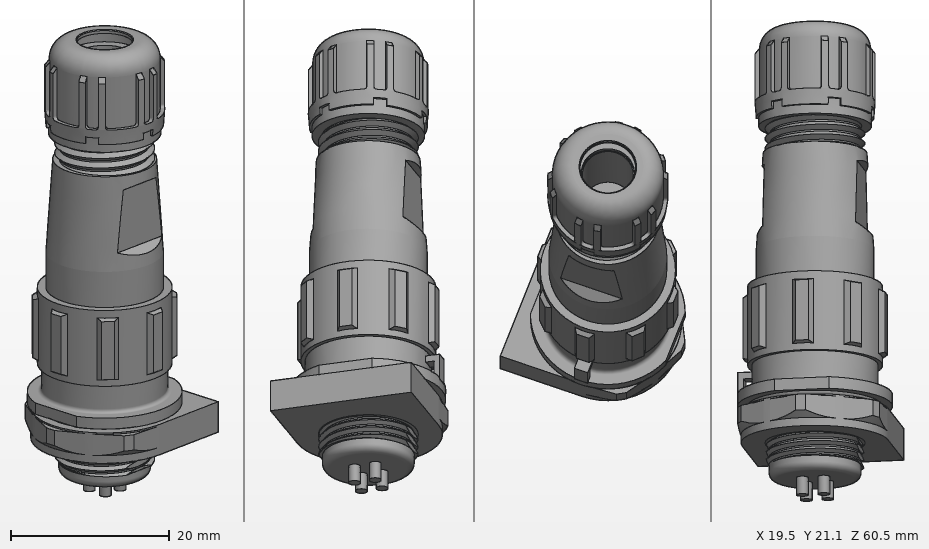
import cadquery as cq
import math


pin_bottom = 0.0
socket_bottom = 2.25
socket_thread_bottom = 4.0
nut_bottom = 7.0
nut_top = 11.1
flange_bottom = 11.75
flange_top = 13.25
coupling_bottom = 17.05
coupling_top = 27.25
taper_bottom = 32.0
taper_top = 44.5
cap_bottom = 48.0
collar_bottom = 49.15
collar_top = 51.15
connector_top = 60.5

plug_radius = 7.42
taper_top_radius = 6.55
grip_flat_offset = 5.95
grip_flat_bottom = 34.45
grip_flat_top = 42.6
grip_flat_slope = math.tan(math.radians(30))

plug_thread_root = 5.65
plug_thread_crest = 6.3
plug_thread_pitch = 1.27

cap_radius = 7.0
cap_dome_radius = 2.5
collar_top_radius = 7.57
collar_bottom_radius = 7.42
cap_skirt_radius = 7.1
collar_notch_top = 50.05
collar_notch_width = 1.7

cap_rib_count = 6
cap_rib_width = 0.9
cap_rib_offset_angle = 9.75
cap_rib_slope_start = 57.35
cap_rib_slope = 1.2
cap_rib_root_fillet = 0.4

entry_radius = 3.5
entry_chamfer = 0.12
entry_lip_height = 0.5
seal_space_radius = 4.65
seal_space_depth = 2.05
seal_bore_radius = 3.35
seal_bore_depth = 2.6
cable_bore_radius = 6.41 / 2

coupling_radius = 8.5
coupling_rib_count = 8
coupling_rib_bottom = 18.0
coupling_rib_top = 26.15
coupling_rib_inner_radius = 8.2
coupling_rib_outer_radius = 9.1
coupling_rib_base_width = 2.95
coupling_rib_tip_width = 1.65
coupling_rib_end_taper = 0.35

barrel_radius = 7.95
barrel_fillet = 0.5
flange_radius = 9.75
flange_flat_offset = 9.1
gasket_radius = 8.5

socket_root_radius = 5.8
socket_thread_crest = 6.3
socket_thread_pitch = 1.0
socket_fillet = 0.9

pin_radius = 0.75
pin_spacing = 2.75

loop_width = 1.8
loop_post_thickness = 0.75
loop_top = 16.35
loop_arm_height = 0.85

nut_radius = 9.33
plate_reach = 11.0
lobe_reach = 10.11
lobe_tip_half_width = 0.65
lobe_top = nut_top - 0.2
lobe_bottom = 8.05
lobe_spacing = 60

overlap = 0.3


def cylinder(radius, bottom, top):
    return cq.Workplane("XY").workplane(offset=bottom).circle(radius).extrude(top - bottom)


def block(x_range, y_range, z_range):
    sizes = [high - low for low, high in (x_range, y_range, z_range)]
    corner = (x_range[0], y_range[0], z_range[0])
    return cq.Workplane("XY").box(*sizes, centered=False).translate(corner)


def turned(body, angle):
    return body.rotate((0, 0, 0), (0, 0, 1), angle)


def thread(root, crest, pitch, bottom, top):
    """Right-handed V thread between two levels, sunk slightly into its core."""
    start = bottom - pitch
    helix = cq.Wire.makeHelix(pitch, top - bottom + 2 * pitch, root).translate(cq.Vector(0, 0, start))
    sink = 0.1
    half_base = 0.48 * pitch
    ridge = (
        cq.Workplane("XZ")
        .polyline([(root - sink, start - half_base), (crest, start), (root - sink, start + half_base)])
        .close()
        .sweep(cq.Workplane(obj=helix), isFrenet=True)
    )
    return ridge.intersect(cylinder(crest + overlap, bottom, top))


def shell():
    """Turned coupling ring and shell, tapered toward the threaded neck."""
    return (
        cq.Workplane("XZ")
        .moveTo(0, coupling_bottom)
        .lineTo(coupling_radius, coupling_bottom)
        .lineTo(coupling_radius, coupling_top)
        .lineTo(plug_radius, coupling_top)
        .lineTo(plug_radius, taper_bottom)
        .lineTo(taper_top_radius, taper_top)
        .lineTo(0, taper_top)
        .close()
        .revolve(360, (0, 0), (0, 1))
    )


def cap():
    """Round cap with a domed top, a slightly conical collar and a skirt under the collar."""
    wall = cylinder(cap_radius, collar_bottom, connector_top).edges(">Z").fillet(cap_dome_radius)
    collar = (
        cq.Workplane("XY", origin=(0, 0, collar_bottom))
        .circle(collar_bottom_radius)
        .workplane(offset=collar_top - collar_bottom)
        .circle(collar_top_radius)
        .loft()
    )
    skirt = cylinder(cap_skirt_radius, cap_bottom, collar_bottom)
    return wall.union(collar).union(skirt)


def neck():
    """Threaded neck between shell and cap, reaching a little into both."""
    core = cylinder(plug_thread_root, taper_top - overlap, cap_bottom + overlap)
    return core.union(thread(plug_thread_root, plug_thread_crest, plug_thread_pitch, taper_top, cap_bottom))


def cable_entry():
    """Cable bore with a lip over the wider seal space, ending at the cap's lower edge."""
    lip_edge = entry_radius + entry_chamfer
    lip_bottom = connector_top - entry_lip_height
    seal_floor = connector_top - seal_space_depth
    seal_bore_floor = connector_top - seal_bore_depth
    return (
        cq.Workplane("XZ")
        .moveTo(0, connector_top)
        .lineTo(lip_edge, connector_top)
        .lineTo(entry_radius, connector_top - entry_chamfer)
        .lineTo(entry_radius, lip_bottom)
        .lineTo(seal_space_radius, lip_bottom)
        .lineTo(seal_space_radius, seal_floor)
        .lineTo(seal_bore_radius, seal_floor)
        .lineTo(seal_bore_radius, seal_bore_floor)
        .lineTo(cable_bore_radius, seal_bore_floor)
        .lineTo(cable_bore_radius, cap_bottom)
        .lineTo(0, cap_bottom)
        .close()
        .revolve(360, (0, 0), (0, 1))
    )


def cap_rib():
    """Upright rib on the +X side of the cap: flared foot, outer face flush with the
    collar's top edge, and a top sloped back to the cap wall."""
    half = cap_rib_width / 2
    foot = half + cap_rib_root_fillet
    fillet_top = collar_top + cap_rib_root_fillet
    inner = cap_radius - overlap
    slope_run = collar_top_radius - inner
    slope_rise = cap_rib_slope * slope_run
    rib_top = cap_rib_slope_start + slope_rise
    upright = (
        cq.Workplane("YZ", origin=(inner, 0, 0))
        .moveTo(-foot, collar_top)
        .radiusArc((-half, fillet_top), -cap_rib_root_fillet)
        .lineTo(-half, rib_top)
        .lineTo(half, rib_top)
        .lineTo(half, fillet_top)
        .radiusArc((foot, collar_top), -cap_rib_root_fillet)
        .close()
        .extrude(collar_top_radius - inner)
    )
    envelope = cylinder(collar_top_radius, collar_top, rib_top).edges(">Z").chamfer(slope_rise, slope_run)
    return upright.intersect(envelope)


def collar_notch():
    """Notch in the collar's lower edge on the +X side, as deep as the cap skirt."""
    half = collar_notch_width / 2
    notch = block((0, collar_top_radius), (-half, half), (collar_bottom, collar_notch_top))
    return notch.cut(cylinder(cap_skirt_radius, collar_bottom, collar_notch_top))


def grip_flat():
    """Material above the wrench flat on the +X side, with sloped ends."""
    outer = plug_radius + 1
    rise = (outer - grip_flat_offset) * grip_flat_slope
    return (
        cq.Workplane("XZ")
        .moveTo(grip_flat_offset, grip_flat_bottom)
        .lineTo(outer, grip_flat_bottom - rise)
        .lineTo(outer, grip_flat_top + rise)
        .lineTo(grip_flat_offset, grip_flat_top)
        .close()
        .extrude(plug_radius, both=True)
    )


def coupling_rib():
    """Rib on the +X side of the coupling ring, tapering outward on all four sides."""
    length = coupling_rib_top - coupling_rib_bottom
    middle = (coupling_rib_top + coupling_rib_bottom) / 2
    return (
        cq.Workplane("YZ", origin=(coupling_rib_inner_radius, 0, middle))
        .rect(coupling_rib_base_width, length + coupling_rib_end_taper)
        .workplane(offset=coupling_rib_outer_radius - coupling_rib_inner_radius)
        .rect(coupling_rib_tip_width, length - coupling_rib_end_taper)
        .loft()
    )


def make_cap():
    body = cap()
    for i in range(cap_rib_count):
        angle = i * 360 / cap_rib_count
        for side in (-cap_rib_offset_angle, cap_rib_offset_angle):
            body = body.union(turned(cap_rib(), angle + side))
        body = body.cut(turned(collar_notch(), angle))
    return body


def make_shell():
    body = shell()
    for i in range(coupling_rib_count):
        body = body.union(turned(coupling_rib(), i * 360 / coupling_rib_count))
    for angle in (0, 180):
        body = body.cut(turned(grip_flat(), angle))
    return body


def make_plug():
    return make_shell().union(neck()).union(make_cap()).cut(cable_entry())


def socket_profile():
    """Turned shape of the threaded tail, gasket and barrel; the flange is added apart."""
    gasket_fillet = flange_bottom - nut_top
    return (
        cq.Workplane("XZ")
        .moveTo(0, socket_bottom)
        .lineTo(socket_root_radius - socket_fillet, socket_bottom)
        .radiusArc((socket_root_radius, socket_bottom + socket_fillet), -socket_fillet)
        .lineTo(socket_root_radius, nut_bottom)
        .lineTo(socket_thread_crest, nut_bottom)
        .lineTo(socket_thread_crest, nut_top)
        .lineTo(gasket_radius - gasket_fillet, nut_top)
        .radiusArc((gasket_radius, flange_bottom), -gasket_fillet)
        .lineTo(gasket_radius, flange_top)
        .lineTo(barrel_radius + barrel_fillet, flange_top)
        .radiusArc((barrel_radius, flange_top + barrel_fillet), barrel_fillet)
        .lineTo(barrel_radius, coupling_bottom)
        .lineTo(0, coupling_bottom)
        .close()
        .revolve(360, (0, 0), (0, 1))
    )


def flange():
    """Round flange with flats on its +Y and -Y sides."""
    flats = block(
        (-flange_radius, flange_radius),
        (-flange_flat_offset, flange_flat_offset),
        (flange_bottom, flange_top),
    )
    return cylinder(flange_radius, flange_bottom, flange_top).intersect(flats)


def tail_thread():
    """Thread under the nut, trimmed by flats on its +X and -X sides."""
    ridge = thread(
        socket_root_radius, socket_thread_crest, socket_thread_pitch, socket_thread_bottom, nut_bottom
    )
    flats = block(
        (-socket_root_radius, socket_root_radius),
        (-flange_radius, flange_radius),
        (socket_thread_bottom, nut_bottom),
    )
    return ridge.intersect(flats)


def tether_loop():
    """L-shaped loop on the -X side, from the flange up and in to the barrel."""
    half = loop_width / 2
    post = block(
        (-flange_radius, -flange_radius + loop_post_thickness),
        (-half, half),
        (flange_top - overlap, loop_top),
    )
    arm = block(
        (-flange_radius, -barrel_radius + overlap),
        (-half, half),
        (loop_top - loop_arm_height, loop_top),
    )
    return post.union(arm)


def contact_pins():
    return (
        cq.Workplane("XY", origin=(0, 0, pin_bottom))
        .rect(pin_spacing, pin_spacing, forConstruction=True)
        .vertices()
        .circle(pin_radius)
        .extrude(socket_bottom + overlap - pin_bottom)
    )


def make_socket():
    socket = socket_profile().union(flange()).union(tether_loop())
    return socket.union(tail_thread()).union(contact_pins())


def nut_lobe():
    """Lobe on the -Y side: flat tip, sides tangent to the round rim, cone under it."""
    tip_distance = math.hypot(lobe_reach, lobe_tip_half_width)
    tip_angle = math.atan2(lobe_tip_half_width, lobe_reach)
    tangent_angle = tip_angle + math.acos(nut_radius / tip_distance)
    tangent_x = nut_radius * math.sin(tangent_angle)
    tangent_y = -nut_radius * math.cos(tangent_angle)
    lobe = (
        cq.Workplane("XY", origin=(0, 0, lobe_bottom))
        .polyline([
            (0, 0),
            (-tangent_x, tangent_y),
            (-lobe_tip_half_width, -lobe_reach),
            (lobe_tip_half_width, -lobe_reach),
            (tangent_x, tangent_y),
        ])
        .close()
        .extrude(lobe_top - lobe_bottom)
    )
    cone_rise = lobe_top - lobe_bottom
    cone = (
        cq.Workplane("XY", origin=(0, 0, lobe_bottom))
        .circle(nut_radius)
        .workplane(offset=cone_rise)
        .circle(nut_radius + cone_rise)
        .loft()
    )
    return lobe.intersect(cone)


def make_nut():
    nut = cylinder(nut_radius, nut_bottom, nut_top)
    nut = nut.union(block((-nut_radius, nut_radius), (0, plate_reach), (nut_bottom, nut_top)))
    for angle in (-lobe_spacing, 0, lobe_spacing):
        nut = nut.union(turned(nut_lobe(), angle))
    return nut.cut(cylinder(socket_thread_crest, nut_bottom, nut_top))


plug = make_plug()
socket = make_socket()
nut = make_nut()

result = cq.Compound.makeCompound([plug.val(), socket.val(), nut.val()])